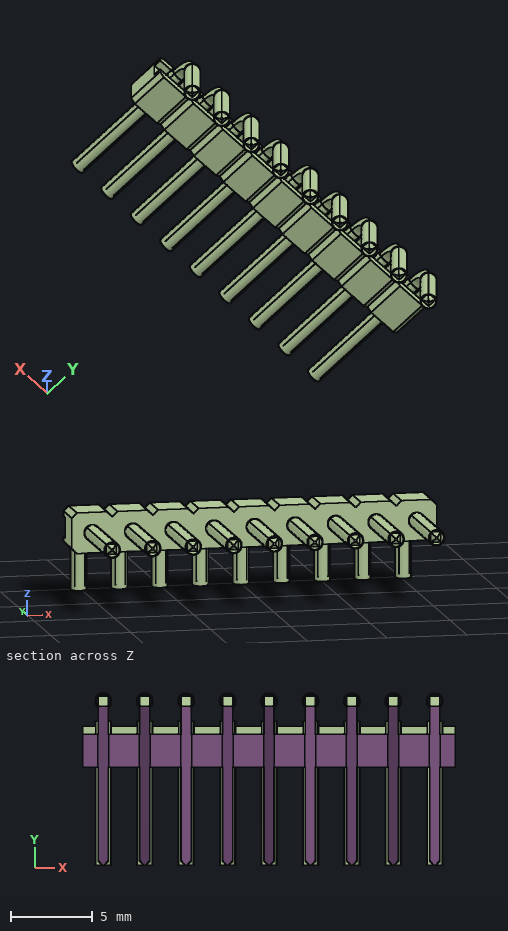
import cadquery as cq

pitch = 2.54
pin_count = 9
body_depth = 2.54
body_height = 2.54
notch = 0.32
slot_depth = 0.5
slot_height = 1.24

sleeve_diameter = 1.0
sleeve_bore = 0.9
wire = 0.64
tip = 0.14
taper_length = 0.28
front_reach = 6.0
collar = 0.30
bend_radius = 1.22
tail_below_body = 3.0

body_length = pitch * pin_count
front_end = -body_depth / 2 - front_reach
slot_floor = body_depth / 2 - slot_depth
rear_end = body_depth / 2 + collar
tail_y = rear_end + bend_radius
tail_top = -bend_radius
tail_end = -body_height / 2 - tail_below_body
pin_places = [(i - (pin_count - 1) / 2) * pitch for i in range(pin_count)]


def housing_segment(x):
    """Block for one position, chamfered along its four long edges."""
    block = cq.Workplane("XY").box(pitch, body_depth, body_height)
    return block.edges("|Y").chamfer(notch).translate((x, 0, 0))


def make_housing():
    """Row of joined segments with a rear channel and a square bore for every pin."""
    body = housing_segment(pin_places[0])
    for x in pin_places[1:]:
        body = body.union(housing_segment(x))
    channel = (
        cq.Workplane("XY")
        .box(body_length, slot_depth, slot_height, centered=(True, False, True))
        .translate((0, slot_floor, 0))
    )
    bores = (
        cq.Workplane("XZ")
        .pushPoints([(x, 0) for x in pin_places])
        .rect(wire, wire)
        .extrude(body_depth, both=True)
    )
    return body.cut(channel).cut(bores)


def make_leg(end_plane, length):
    """Straight square wire starting with a blunt tapered tip at the given plane."""
    point = (
        cq.Workplane(end_plane)
        .rect(tip, tip)
        .workplane(offset=taper_length)
        .rect(wire, wire)
        .loft(combine=True)
    )
    shank = (
        cq.Workplane(end_plane)
        .workplane(offset=taper_length)
        .rect(wire, wire)
        .extrude(length - taper_length)
    )
    return point.union(shank)


def make_sleeve(end_plane, length):
    """Thin open tube that the four edges of the wire bite into."""
    return (
        cq.Workplane(end_plane)
        .circle(sleeve_diameter / 2)
        .circle(sleeve_bore / 2)
        .extrude(length)
    )


def make_bend():
    """Quarter turn of square wire from the rear sleeve end down to the tail."""
    return (
        cq.Workplane("XZ", origin=(0, rear_end, 0))
        .rect(wire, wire)
        .revolve(90, (1, -bend_radius, 0), (-1, -bend_radius, 0))
    )


def make_pin(x):
    """Right-angle wire with front, collar and tail sleeves, as a single solid."""
    contact_plane = cq.Plane(origin=(0, front_end, 0), xDir=(1, 0, 0), normal=(0, 1, 0))
    collar_plane = cq.Plane(origin=(0, slot_floor, 0), xDir=(1, 0, 0), normal=(0, 1, 0))
    tail_plane = cq.Plane(origin=(0, tail_y, tail_end), xDir=(1, 0, 0), normal=(0, 0, 1))
    tail_length = tail_top - tail_end
    pin = (
        make_leg(contact_plane, rear_end - front_end)
        .union(make_bend())
        .union(make_leg(tail_plane, tail_length))
        .union(make_sleeve(contact_plane, front_reach))
        .union(make_sleeve(collar_plane, rear_end - slot_floor))
        .union(make_sleeve(tail_plane, tail_length))
    )
    return pin.translate((x, 0, 0))


housing = make_housing()
pins = [make_pin(x) for x in pin_places]

result = cq.Compound.makeCompound([*housing.solids().vals(), *[pin.solids().val() for pin in pins]])